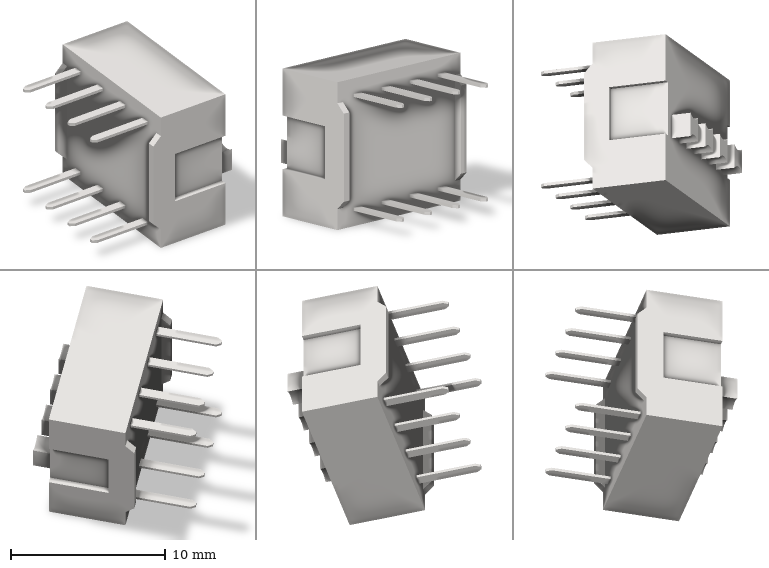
import cadquery as cq


body_width = 11.16
body_depth = 5.1
body_height = 9.9

rail_width = 0.5
rail_rise = 0.59
rail_length = 7.09

recess_depth = 0.39
recess_length = 3.97
recess_height = 3.59

switch_count = 4
row_spacing = 7.62
pitch = row_spacing / 3
switch_places = [(i - (switch_count - 1) / 2) * pitch for i in range(switch_count)]

knob_width = 1.3
knob_height = 1.58
knob_rise = 1.31
hollow_depth = 0.25
knob_center_z = -recess_height / 2 + knob_height / 2

pin_width = 0.6
pin_thickness = 0.2
pin_length = 4.3
tip_width = 0.2
tip_length = 0.31


def make_body():
    return cq.Workplane("XY").box(body_width, body_depth, body_height).translate((0, body_depth / 2, 0))


def make_rail(side):
    """Rail flush with one end face; its two ends slope at 45 degrees."""
    foot = rail_length / 2
    crest = foot - rail_rise
    rail = (
        cq.Workplane("YZ")
        .polyline([(0, -foot), (0, foot), (-rail_rise, crest), (-rail_rise, -crest)])
        .close()
        .extrude(rail_width / 2, both=True)
    )
    return rail.translate((side * (body_width - rail_width) / 2, 0, 0))


def make_recess(side):
    recess = cq.Workplane("XY").box(recess_depth, recess_length, recess_height)
    return recess.translate((side * (body_width - recess_depth) / 2, body_depth - recess_length / 2, 0))


def make_knob(x):
    half_width = knob_width / 2
    half_height = knob_height / 2
    waist = half_height - hollow_depth
    knob = (
        cq.Workplane("XZ")
        .moveTo(-half_width, -half_height)
        .threePointArc((0, -waist), (half_width, -half_height))
        .lineTo(half_width, half_height)
        .threePointArc((0, waist), (-half_width, half_height))
        .close()
        .extrude(-knob_rise)
    )
    return knob.translate((x, body_depth, knob_center_z))


def make_pin(x, z):
    half_width = pin_width / 2
    half_tip = tip_width / 2
    shoulder = -(pin_length - tip_length)
    pin = (
        cq.Workplane("XY")
        .polyline([
            (-half_width, 0),
            (-half_width, shoulder),
            (-half_tip, -pin_length),
            (half_tip, -pin_length),
            (half_width, shoulder),
            (half_width, 0),
        ])
        .close()
        .extrude(pin_thickness / 2, both=True)
    )
    return pin.translate((x, 0, z))


result = make_body()
for side in (-1, 1):
    result = result.union(make_rail(side)).cut(make_recess(side))
for x in switch_places:
    result = result.union(make_knob(x))
    for row in (-1, 1):
        result = result.union(make_pin(x, row * row_spacing / 2))